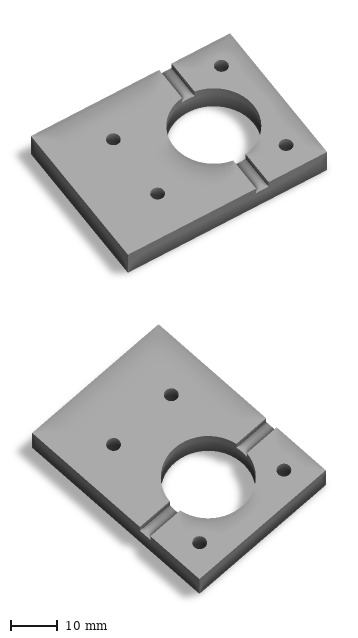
import cadquery as cq

plate_width = 38.1
plate_length = 50.8
plate_thickness = 6.35
back_edge_y = plate_length / 2

bore_diameter = 20.32
bore_y = back_edge_y - 16.51
groove_width = 3.175
groove_depth = 1.5875

hole_diameter = 3.175
back_hole_inset = 6.35
back_hole_spacing = plate_width - 2 * back_hole_inset
back_hole_y = back_edge_y - back_hole_inset
front_hole_spacing = 17.4
front_hole_y = bore_y - 20.0


def make_plate():
    """Plain rectangular plate with its bottom face on Z = 0."""
    return cq.Workplane("XY").box(plate_width, plate_length, plate_thickness, centered=(True, True, False))


def through_cylinder(diameter, x, y):
    """Cutter that passes through the full plate thickness."""
    return cq.Workplane("XY").center(x, y).circle(diameter / 2).extrude(plate_thickness)


def hole_pair(spacing, y):
    """Two screw hole cutters placed symmetrically about the plate's centreline."""
    left = through_cylinder(hole_diameter, -spacing / 2, y)
    right = through_cylinder(hole_diameter, spacing / 2, y)
    return left.add(right).combine()


def groove():
    """Cutter for the groove that runs across the full width of the top face."""
    return (
        cq.Workplane("XY", origin=(0, bore_y, plate_thickness - groove_depth))
        .rect(plate_width, groove_width)
        .extrude(groove_depth)
    )


result = (
    make_plate()
    .cut(through_cylinder(bore_diameter, 0, bore_y))
    .cut(groove())
    .cut(hole_pair(back_hole_spacing, back_hole_y))
    .cut(hole_pair(front_hole_spacing, front_hole_y))
)